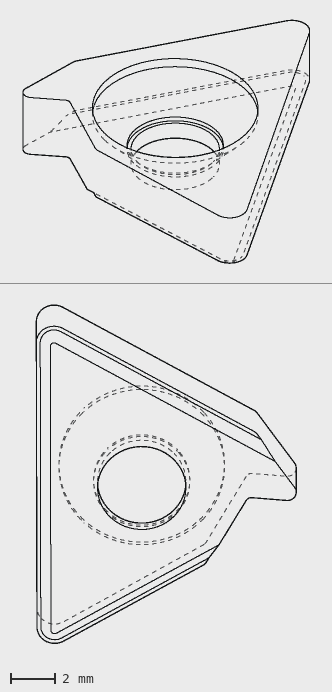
import cadquery as cq
import math

height = 3.21
top_slope = 1.0
inscribed_radius = 4.77
corner_radius = 0.8

tooth_x = -3.11
tooth_bottom = -6.23
tooth_half_angle = math.radians(25)
tooth_tip_radius = 0.4
root_y = -4.4
root_fillet = 0.25
edge_blend = 0.4

relief_height = 0.45
ledge_width = 0.18
relief_width = 0.64

bore_radius = 2.0
seat_radius = 2.18
mouth_radius = 3.75
bore_ledge_z = 0.85
cone_bottom_z = 1.05
cone_top_z = 2.74

left_x = -inscribed_radius
right_x = 2 * inscribed_radius
corner_y = math.sqrt(3) * inscribed_radius


def rounded_triangle(inset, z, depth):
    """Prism on a rounded triangle, inset evenly from the body outline."""
    radius = inscribed_radius - inset
    half_side = math.sqrt(3) * radius
    points = [(-radius, half_side), (-radius, -half_side), (2 * radius, 0)]
    prism = cq.Workplane("XY").workplane(offset=z).polyline(points).close().extrude(depth)
    return prism.edges("|Z").fillet(corner_radius - inset)


def fillet_at(body, x, y, radius):
    """Round the vertical edge nearest to the given place."""
    return body.edges("|Z").edges(cq.NearestToPointSelector((x, y, height / 2))).fillet(radius)


def make_blank():
    """Full-height prism with the tooth outline and rounded corners."""
    apex_y = tooth_bottom + tooth_tip_radius - tooth_tip_radius / math.sin(tooth_half_angle)
    flank_top_y = apex_y + (tooth_x - left_x) / math.tan(tooth_half_angle)
    root_x = tooth_x + (root_y - apex_y) * math.tan(tooth_half_angle)
    root_end_x = right_x + math.sqrt(3) * root_y
    outline = [
        ((left_x, corner_y), corner_radius),
        ((left_x, flank_top_y), edge_blend),
        ((tooth_x, apex_y), tooth_tip_radius),
        ((root_x, root_y), root_fillet),
        ((root_end_x, root_y), edge_blend),
        ((right_x, 0), corner_radius),
    ]
    body = cq.Workplane("XY").polyline([point for point, _ in outline]).close().extrude(height)
    for (x, y), radius in outline:
        body = fillet_at(body, x, y, radius)
    return body


def make_envelope():
    """Triangle with the bottom relief; it trims the blank's straight sides."""
    upper = rounded_triangle(0, relief_height, height - relief_height)
    bottom_wire = rounded_triangle(relief_width, 0, 0.14).faces("<Z").wires().val()
    ledge_wire = rounded_triangle(ledge_width, relief_height, 0.14).faces("<Z").wires().val()
    bevel = cq.Solid.makeLoft([bottom_wire, ledge_wire], True)
    return upper.union(cq.Workplane(obj=bevel))


def make_top_cutter():
    """Wedge above the sloping top face."""
    drop = (right_x - left_x) * math.tan(math.radians(top_slope))
    return (
        cq.Workplane("XZ")
        .polyline([(left_x, height), (right_x, height - drop), (right_x, height)])
        .close()
        .extrude(corner_y, both=True)
    )


def make_screw_hole():
    """Stepped bore with a conical seat and a cylindrical mouth."""
    return (
        cq.Workplane("XZ")
        .polyline([
            (0, 0),
            (bore_radius, 0),
            (bore_radius, bore_ledge_z),
            (seat_radius, bore_ledge_z),
            (seat_radius, cone_bottom_z),
            (mouth_radius, cone_top_z),
            (mouth_radius, height),
            (0, height),
        ])
        .close()
        .revolve(360, (0, 0), (0, 1))
    )


result = make_blank().intersect(make_envelope()).cut(make_top_cutter()).cut(make_screw_hole())